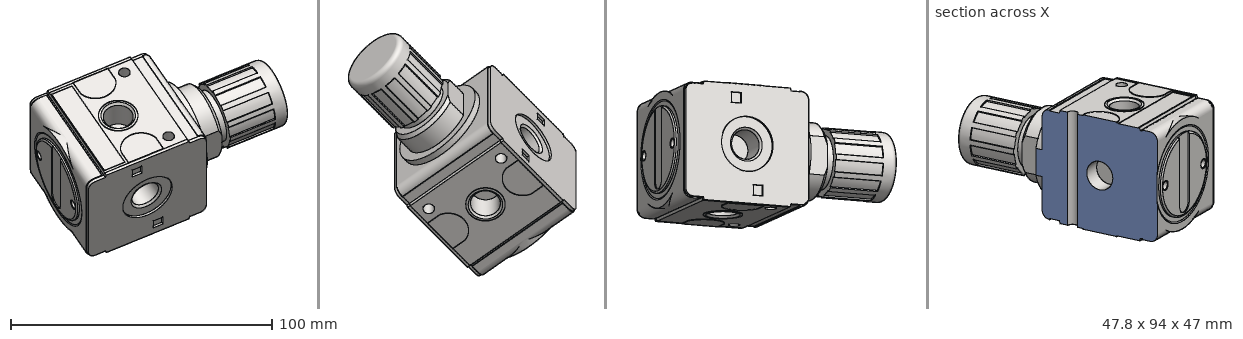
import cadquery as cq
import math


block_width = 45.2
block_half_length = 26.0
block_half_height = 23.2
shoulder_half_height = 22.5
block_corner_radius = 3.5
groove_floor_half_height = 22.1
step_start = 17.85
step_end = 18.3
front_groove_end = 19.0
rear_groove_end = block_half_length - block_corner_radius

overall_width = 47.8
plate_thickness = (overall_width - block_width) / 2
plate_half_length = 25.55
plate_half_height = 23.1
plate_shoulder_half_height = 22.0
plate_corner_radius = 3.0

overall_height = 47.0
pad_height = overall_height / 2 - block_half_height
ring_pad_diameter = 15.1
side_pad_width = 15.1
side_pad_arc_diameter = 15.7
side_pad_tip = 10.75
label_width = 43.0
label_front = -17.4
label_rear = -8.55
label_depth = 0.2

port_diameter = 11.45
port_mouth_diameter = 13.2
port_chamfer = (port_mouth_diameter - port_diameter) / 2
port_depth = 12.0
seal_recess_diameter = 21.4
seal_recess_depth = 1.0
bolt_hole_diameter = 4.4
bolt_hole_spacing = 36.0
bolt_hole_y = 12.25
latch_size = 4.1
latch_depth = 1.0
latch_y = 4.55
latch_z = 17.75

front_face = -block_half_length
front_overall = -27.0
cap_recess_diameter = 38.6
cap_diameter = 37.5
cap_recess_depth = 0.25
disc_diameter = 33.7
disc_chamfer_width = 0.8
disc_chamfer_height = 0.5
slot_width = 7.1
slot_bottom = -15.4
pin_hole_diameter = 3.2
pin_hole_mouth_diameter = 4.0
pin_hole_mouth_depth = 0.15
pin_hole_depth = 2.5
pin_hole_x = 13.9

flange_diameter = 37.6
flange_end = 28.65
collar_diameter = 30.0
collar_flats = 26.0
collar_end = 38.0
collar_chamfer = 1.4
neck_diameter = 21.0

knob_diameter = 27.0
knob_start = 41.4
knob_end = 67.0
knob_edge_radius = 2.0
rib_count = 12
rib_width = 2.2
rib_end = 61.0
rib_height = 0.6


def cylinder_y(diameter, start, end):
    """Solid cylinder on the Y axis between two Y positions."""
    disc = cq.Workplane("XZ", origin=(0, start, 0)).circle(diameter / 2)
    return disc.extrude(start - end)


def cone_y(start_diameter, end_diameter, start, end, x=0):
    """Solid cone parallel to the Y axis between two Y positions."""
    height = abs(end - start)
    direction = cq.Vector(0, math.copysign(1, end - start), 0)
    cone = cq.Solid.makeCone(
        start_diameter / 2, end_diameter / 2, height, cq.Vector(x, start, 0), direction
    )
    return cq.Workplane(cone)


def block_profile():
    """Side outline of the middle block: a box with two grooves across its top and bottom."""
    top = [
        (-block_half_length, shoulder_half_height),
        (-front_groove_end, shoulder_half_height),
        (-front_groove_end, groove_floor_half_height),
        (-step_end, groove_floor_half_height),
        (-step_start, block_half_height),
        (step_start, block_half_height),
        (step_end, groove_floor_half_height),
        (rear_groove_end, groove_floor_half_height),
        (rear_groove_end, shoulder_half_height),
    ]
    bottom = [(y, -z) for y, z in reversed(top)]
    rear_arc_center = shoulder_half_height - block_corner_radius
    diagonal = block_corner_radius * math.sqrt(0.5)
    arc_mid_y = rear_groove_end + diagonal
    arc_mid_z = rear_arc_center + diagonal
    outline = cq.Workplane("YZ", origin=(-block_width / 2, 0, 0)).polyline(top)
    outline = outline.threePointArc((arc_mid_y, arc_mid_z), (block_half_length, rear_arc_center))
    outline = outline.lineTo(block_half_length, -rear_arc_center)
    outline = outline.threePointArc((arc_mid_y, -arc_mid_z), bottom[0])
    for point in bottom[1:]:
        outline = outline.lineTo(*point)
    return outline.close()


def make_block():
    """Middle block; its rounded front edges are filled out by a round hump behind the cap."""
    block = block_profile().extrude(block_width)
    rounded = block.edges("|X and <Y").fillet(block_corner_radius)
    hump = cylinder_y(2 * shoulder_half_height, front_face, -rear_groove_end)
    return rounded.union(hump)


def make_end_plate(inner_x):
    """End plate with rounded corners and a taller middle stretch."""
    plane = cq.Workplane("YZ", origin=(inner_x, 0, 0))
    low_part = plane.rect(2 * plate_half_length, 2 * plate_shoulder_half_height)
    low_part = low_part.extrude(plate_thickness).edges("|X").fillet(plate_corner_radius)
    upper_left = (-step_start, plate_half_height)
    lower_left = (-step_end, plate_shoulder_half_height)
    left = [upper_left, lower_left, (lower_left[0], -lower_left[1]), (upper_left[0], -upper_left[1])]
    right = [(-y, z) for y, z in reversed(left)]
    tall_part = plane.polyline(left + right).close().extrude(plate_thickness)
    return low_part.union(tall_part)


def make_pads():
    """Round pad about the gauge port and a round-nosed pad at either side of it."""
    face = cq.Workplane("XY", origin=(0, 0, block_half_height))
    pads = face.circle(ring_pad_diameter / 2).extrude(pad_height)
    arc_radius = side_pad_arc_diameter / 2
    arc_center = side_pad_tip + arc_radius
    half_width = side_pad_width / 2
    arc_end = arc_center - math.sqrt(arc_radius**2 - half_width**2)
    for side in (-1, 1):
        pad = face.moveTo(side * block_width / 2, -half_width).lineTo(side * arc_end, -half_width)
        pad = pad.threePointArc((side * side_pad_tip, 0), (side * arc_end, half_width))
        pads = pads.union(pad.lineTo(side * block_width / 2, half_width).close().extrude(pad_height))
    return pads.union(pads.mirror("XY"))


def make_label_recess():
    """Shallow rectangle in the top face."""
    recess = cq.Workplane("XY", origin=(0, (label_front + label_rear) / 2, block_half_height))
    return recess.rect(label_width, label_rear - label_front).extrude(-label_depth)


def make_port(mouth):
    """Blind bore along Z with a chamfered mouth at the given height."""
    bore = cq.Workplane("XY", origin=(0, 0, mouth)).circle(port_diameter / 2).extrude(-port_depth)
    chamfer = cq.Solid.makeCone(
        port_mouth_diameter / 2, port_diameter / 2, port_chamfer, cq.Vector(0, 0, mouth), cq.Vector(0, 0, -1)
    )
    return bore.union(cq.Workplane(chamfer))


def make_gauge_ports():
    """Ports opening at the top and bottom ring pads."""
    port = make_port(overall_height / 2)
    return port.union(port.mirror("XY"))


def make_side_cuts():
    """Flow port, seal recess and two latch pockets in each end plate."""
    outer_x = -overall_width / 2
    face = cq.Workplane("YZ", origin=(outer_x, 0, 0))
    recess = face.circle(seal_recess_diameter / 2).extrude(seal_recess_depth)
    port = make_port(-outer_x - seal_recess_depth).rotate((0, 0, 0), (0, 1, 0), -90)
    latches = face.pushPoints([(-latch_y, latch_z), (latch_y, -latch_z)])
    latches = latches.rect(latch_size, latch_size).extrude(latch_depth)
    cuts = recess.union(port).union(latches)
    return cuts.union(cuts.mirror("YZ"))


def make_bolt_holes():
    """Two bolt holes through the body along Z."""
    holes = cq.Workplane("XY", origin=(0, bolt_hole_y, -overall_height / 2))
    holes = holes.rarray(bolt_hole_spacing, 1, 2, 1).circle(bolt_hole_diameter / 2)
    return holes.extrude(overall_height)


def make_cap_recess():
    """Conical recess in the front face around the cap."""
    return cone_y(cap_recess_diameter, cap_diameter, front_face, front_face + cap_recess_depth)


def make_cap_disc():
    """Chamfered disc with a shallow slot, open at the top with a round lower end."""
    chamfer_start = front_overall + disc_chamfer_height
    disc = cylinder_y(disc_diameter, front_face + cap_recess_depth, chamfer_start)
    rim_diameter = disc_diameter - 2 * disc_chamfer_width
    disc = disc.union(cone_y(disc_diameter, rim_diameter, chamfer_start, front_overall))
    slot_radius = slot_width / 2
    slot_end_center = slot_bottom + slot_radius
    slot = cq.Workplane("XZ", origin=(0, front_overall, 0))
    slot = slot.moveTo(-slot_radius, disc_diameter / 2).lineTo(-slot_radius, slot_end_center)
    slot = slot.threePointArc((0, slot_bottom), (slot_radius, slot_end_center))
    slot = slot.lineTo(slot_radius, disc_diameter / 2).close().extrude(-disc_chamfer_height)
    return disc.cut(slot)


def make_pin_holes():
    """Two blind pin holes in the cap, each with a shallow countersink."""
    holes = cq.Workplane("XZ", origin=(0, front_overall, 0)).rarray(2 * pin_hole_x, 1, 2, 1)
    holes = holes.circle(pin_hole_diameter / 2).extrude(-pin_hole_depth)
    mouth_floor = front_overall + pin_hole_mouth_depth
    for x in (-pin_hole_x, pin_hole_x):
        mouth = cone_y(pin_hole_mouth_diameter, pin_hole_diameter, front_overall, mouth_floor, x)
        holes = holes.union(mouth)
    return holes


def make_bonnet():
    """Flange, chamfered collar with two flats, and the neck under the knob."""
    flange = cylinder_y(flange_diameter, block_half_length, flange_end)
    chamfer_start = collar_end - collar_chamfer
    collar = cylinder_y(collar_diameter, flange_end, chamfer_start)
    collar_tip_diameter = collar_diameter - 2 * collar_chamfer
    collar = collar.union(cone_y(collar_diameter, collar_tip_diameter, chamfer_start, collar_end))
    flats = cq.Workplane("XY").box(collar_flats, 2 * collar_end, collar_diameter)
    neck = cylinder_y(neck_diameter, collar_end, knob_start)
    return flange.union(collar.intersect(flats)).union(neck)


def make_knob():
    """Knob with a rounded end and evenly spaced grip ribs."""
    core = cylinder_y(knob_diameter - 2 * rib_height, knob_start, rib_end)
    head = cylinder_y(knob_diameter, rib_end, knob_end).faces(">Y").edges().fillet(knob_edge_radius)
    rib_length = rib_end - knob_start
    bar = cq.Workplane("XY").box(knob_diameter, rib_length, rib_width)
    bar = bar.translate((0, knob_start + rib_length / 2, 0))
    knob = core.union(head)
    envelope = cylinder_y(knob_diameter, knob_start, rib_end)
    for index in range(rib_count // 2):
        rib_pair = bar.rotate((0, 0, 0), (0, 1, 0), index * 360 / rib_count)
        knob = knob.union(rib_pair.intersect(envelope))
    return knob


body = make_block()
for plate_inner_x in (-overall_width / 2, block_width / 2):
    body = body.union(make_end_plate(plate_inner_x))
body = body.union(make_pads())
body = body.cut(make_label_recess()).cut(make_gauge_ports()).cut(make_side_cuts())
body = body.cut(make_bolt_holes()).cut(make_cap_recess())
body = body.union(make_cap_disc()).cut(make_pin_holes())
result = body.union(make_bonnet()).union(make_knob())